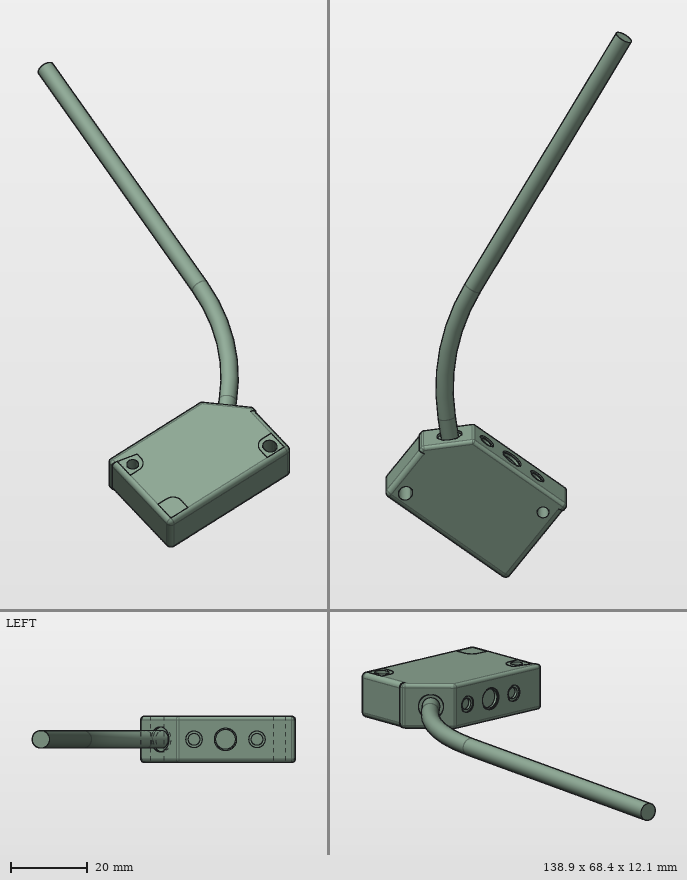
import cadquery as cq
import math

overall_length = 138.9

body_width = 26.4
body_depth = 40.0
body_height = 12.1
slant_start = 30.5
slant_angle = 45.0
housing_fillet = 1.4
cover_fillet = 1.0
cover_overhang = 0.1

seam_front_x = 1.8
seam_back_x = 11.0

hole_diameter = 3.0
hole_x = 5.3
hole_y = 4.0
slot_length = 3.9
slot_width = 3.5
slot_inset_x = 3.9
slot_inset_y = 4.2

pad_size = 5.5
pad_radius = 2.6
pad_depth = 0.07

lens_y = 18.0
lens_rim_diameter = 5.8
lens_bore_diameter = 5.1
dial_spacing = 8.2
dial_rim_diameter = 4.3
dial_bore_diameter = 3.0
rim_depth = 0.4
bore_depth = 1.3

cable_diameter = 4.6
lead_length = 5.1
bend_radius = 58.0
run_angle = 7.8
cable_along_slant = 6.4
recess_diameter = 6.5
recess_depth = 0.7
root_depth = 1.4

slant_rad = math.radians(slant_angle)
run_rad = math.radians(run_angle)
half_height = body_height / 2

out_x = -math.sin(slant_rad)
out_y = math.cos(slant_rad)
foot_x = cable_along_slant * math.cos(slant_rad)
foot_y = slant_start + cable_along_slant * math.sin(slant_rad)

pad_right = body_width - housing_fillet
pad_back = body_depth - housing_fillet


def seam_x(y):
    """X of the seam plane at a given Y."""
    return seam_front_x + (seam_back_x - seam_front_x) * y / body_depth


def body_block(overhang):
    """Five-sided block, stretched in Y by the overhang at the front and back."""
    back = body_depth + overhang
    slant_end_x = (back - slant_start) / math.tan(slant_rad)
    outline = [
        (0, -overhang),
        (body_width, -overhang),
        (body_width, back),
        (slant_end_x, back),
        (0, slant_start),
    ]
    block = cq.Workplane("XY").workplane(offset=-half_height)
    return block.polyline(outline).close().extrude(body_height)


def seam_side(far_x):
    """Prism covering everything from the seam plane to far_x."""
    front = -body_depth
    back = 2 * body_depth
    outline = [(far_x, front), (seam_x(front), front), (seam_x(back), back), (far_x, back)]
    prism = cq.Workplane("XY").workplane(offset=-body_height)
    return prism.polyline(outline).close().extrude(2 * body_height)


def make_body():
    """Cover and housing, each with its own edge rounding, joined at the seam."""
    cover = body_block(cover_overhang).edges().fillet(cover_fillet)
    housing = body_block(0).edges().fillet(housing_fillet)
    cover = cover.intersect(seam_side(-body_width))
    housing = housing.intersect(seam_side(2 * body_width))
    return cover.union(housing)


def mounting_holes():
    """Round hole at the front left and a slot at the back right."""
    plane = cq.Workplane("XY").workplane(offset=-body_height)
    hole = plane.center(hole_x, hole_y).circle(hole_diameter / 2).extrude(2 * body_height)
    slot = plane.center(body_width - slot_inset_x, body_depth - slot_inset_y)
    slot = slot.slot2D(slot_length, slot_width).extrude(2 * body_height)
    return hole.union(slot)


def corner_pad(corner_x, corner_y, toward_x, toward_y):
    """Square pad growing from a corner, rounded at its inner corner."""
    plane = cq.Workplane("XY").workplane(offset=half_height - pad_depth)
    pad = plane.center(corner_x + toward_x * pad_size / 2, corner_y + toward_y * pad_size / 2)
    pad = pad.rect(pad_size, pad_size).extrude(2 * pad_depth)
    inner_x = ">X" if toward_x > 0 else "<X"
    inner_y = ">Y" if toward_y > 0 else "<Y"
    return pad.faces(inner_x).edges(inner_y).fillet(pad_radius)


def corner_pads():
    """Pads at the back right, front right and front left corners."""
    back_right = corner_pad(pad_right, pad_back, -1, -1)
    front_right = corner_pad(pad_right, housing_fillet, -1, 1)
    front_left = corner_pad(seam_x(housing_fillet), housing_fillet, 1, 1)
    front_left = front_left.intersect(seam_side(2 * body_width))
    return back_right.union(front_right).union(front_left)


def stepped_recess(y, rim_diameter, bore_diameter):
    """Wide shallow rim around a deeper bore, on the mid-height line of the left side."""
    plane = cq.Workplane("YZ").center(y, 0)
    rim = plane.circle(rim_diameter / 2).extrude(rim_depth)
    return rim.union(plane.circle(bore_diameter / 2).extrude(bore_depth))


def side_recesses():
    """Lens recess with a dial recess on each side of it."""
    cutter = stepped_recess(lens_y, lens_rim_diameter, lens_bore_diameter)
    for dial_y in (lens_y - dial_spacing, lens_y + dial_spacing):
        cutter = cutter.union(stepped_recess(dial_y, dial_rim_diameter, dial_bore_diameter))
    return cutter


def cable_recess():
    """Round recess in the slanted face around the foot of the cable."""
    plane = cq.Plane((foot_x, foot_y, 0), xDir=(0, 0, 1), normal=(-out_x, -out_y, 0))
    return cq.Workplane(plane).circle(recess_diameter / 2).extrude(recess_depth)


def make_cable():
    """Cable swept along its lead-out, bend and run."""
    exit_angle = math.pi / 2 - slant_rad

    def bend_point(angle):
        """Point on the bend where the cable climbs at the given angle."""
        return (
            bend_start[0] - bend_radius * (math.sin(exit_angle) - math.sin(angle)),
            bend_start[1] + bend_radius * (math.cos(angle) - math.cos(exit_angle)),
        )

    root = (foot_x - root_depth * out_x, foot_y - root_depth * out_y)
    bend_start = (foot_x + lead_length * out_x, foot_y + lead_length * out_y)
    bend_middle = bend_point((exit_angle + run_rad) / 2)
    bend_end = bend_point(run_rad)

    cable_radius = cable_diameter / 2
    tip_corner_x = body_width - overall_length
    tip_x = tip_corner_x + cable_radius * math.sin(run_rad)
    tip = (tip_x, bend_end[1] + (bend_end[0] - tip_x) * math.tan(run_rad))

    path = cq.Workplane("XY").moveTo(*root).lineTo(*bend_start)
    path = path.threePointArc(bend_middle, bend_end).lineTo(*tip)
    root_plane = cq.Plane((*root, 0), xDir=(0, 0, 1), normal=(out_x, out_y, 0))
    return cq.Workplane(root_plane).circle(cable_radius).sweep(path)


body = make_body().cut(mounting_holes()).cut(corner_pads())
body = body.cut(side_recesses()).cut(cable_recess())
result = body.union(make_cable())